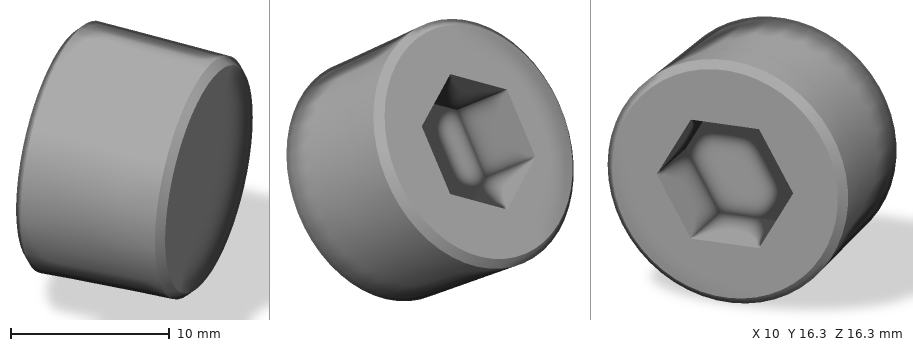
import cadquery as cq
import math

length = 10.0
mid_diameter = 16.0
taper = 1 / 16
chamfer = 0.5
socket_across_flats = 8.0
socket_depth = 5.0

tapered_length = length - 2 * chamfer
half_diameter_change = taper * tapered_length / 2
large_radius = (mid_diameter + half_diameter_change) / 2
small_radius = (mid_diameter - half_diameter_change) / 2


def tapered_body():
    """Tapered plug with an equal-leg chamfer at each end, revolved about X."""
    half_profile = (
        cq.Workplane("XY")
        .lineTo(0, large_radius - chamfer)
        .lineTo(chamfer, large_radius)
        .lineTo(length - chamfer, small_radius)
        .lineTo(length, small_radius - chamfer)
        .lineTo(length, 0)
        .close()
    )
    return half_profile.revolve(360, (0, 0, 0), (1, 0, 0))


def hexagon_socket():
    """Blind hexagon with two corners on the Y axis, sunk from the large end."""
    across_corners = socket_across_flats / math.cos(math.radians(30))
    return cq.Workplane("YZ").polygon(6, across_corners).extrude(socket_depth)


result = tapered_body().cut(hexagon_socket())